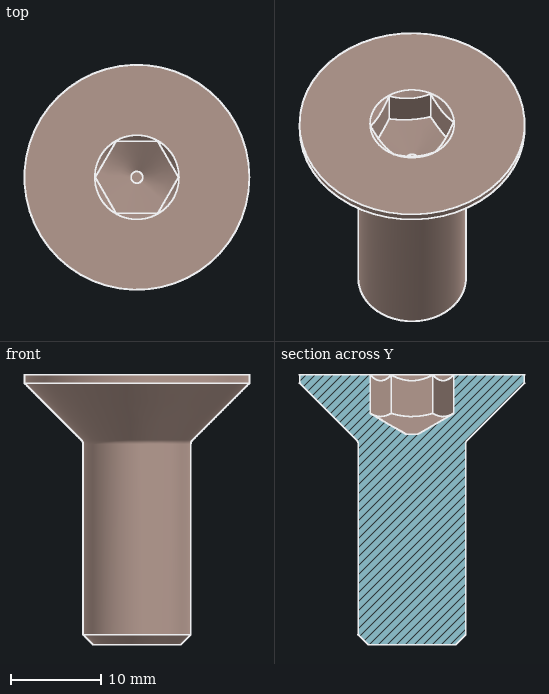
import cadquery as cq
import math

head_diameter = 25.0
shank_diameter = 12.0
total_length = 30.0

rim_height = 0.95
head_cone_angle = math.radians(45)
neck_fillet_radius = 0.6

tip_chamfer = 1.15

socket_across_flats = 8.0
socket_corner_depth = 4.3
lead_in_diameter = 9.35
lead_in_slope = math.radians(45)
floor_slope = math.radians(30)
floor_flat_diameter = 1.3

head_radius = head_diameter / 2
shank_radius = shank_diameter / 2
socket_corner_radius = socket_across_flats / math.sqrt(3)
cone_height = (head_radius - shank_radius) / math.tan(head_cone_angle)
neck_z = -(rim_height + cone_height)


def revolve_profile(profile):
    """Turn a closed XZ outline once around the Z axis."""
    return profile.close().revolve(360, (0, 0, 0), (0, 1, 0))


def screw_body():
    """Head and shank, with the concave fillet where the cone meets the shank."""
    tangent_length = neck_fillet_radius * math.tan(head_cone_angle / 2)
    arc_center_r = shank_radius + neck_fillet_radius
    shank_tangent_z = neck_z - tangent_length
    cone_tangent_r = shank_radius + tangent_length * math.sin(head_cone_angle)
    cone_tangent_z = neck_z + tangent_length * math.cos(head_cone_angle)
    arc_middle = (
        arc_center_r - neck_fillet_radius * math.cos(head_cone_angle / 2),
        shank_tangent_z + neck_fillet_radius * math.sin(head_cone_angle / 2),
    )
    profile = (
        cq.Workplane("XZ")
        .moveTo(0, 0)
        .lineTo(head_radius, 0)
        .lineTo(head_radius, -rim_height)
        .lineTo(cone_tangent_r, cone_tangent_z)
        .threePointArc(arc_middle, (shank_radius, shank_tangent_z))
        .lineTo(shank_radius, -total_length + tip_chamfer)
        .lineTo(shank_radius - tip_chamfer, -total_length)
        .lineTo(0, -total_length)
    )
    return revolve_profile(profile)


def hexagon_socket():
    """Hexagonal recess with corners on the X axis, ending in a blunt cone."""
    floor_flat_radius = floor_flat_diameter / 2
    floor_drop = (socket_corner_radius - floor_flat_radius) * math.tan(floor_slope)
    floor_z = -(socket_corner_depth + floor_drop)
    envelope_radius = lead_in_diameter / 2
    envelope_edge_z = floor_z + (envelope_radius - floor_flat_radius) * math.tan(floor_slope)
    envelope = revolve_profile(
        cq.Workplane("XZ")
        .moveTo(0, 0)
        .lineTo(envelope_radius, 0)
        .lineTo(envelope_radius, envelope_edge_z)
        .lineTo(floor_flat_radius, floor_z)
        .lineTo(0, floor_z)
    )
    prism = cq.Workplane("XY").polygon(6, 2 * socket_corner_radius).extrude(floor_z)
    return prism.intersect(envelope)


def socket_lead_in():
    """Cone that opens the socket to a full circle on the top face."""
    lead_in_radius = lead_in_diameter / 2
    profile = (
        cq.Workplane("XZ")
        .moveTo(0, 0)
        .lineTo(lead_in_radius, 0)
        .lineTo(0, -lead_in_radius * math.tan(lead_in_slope))
    )
    return revolve_profile(profile)


result = screw_body().cut(hexagon_socket()).cut(socket_lead_in())